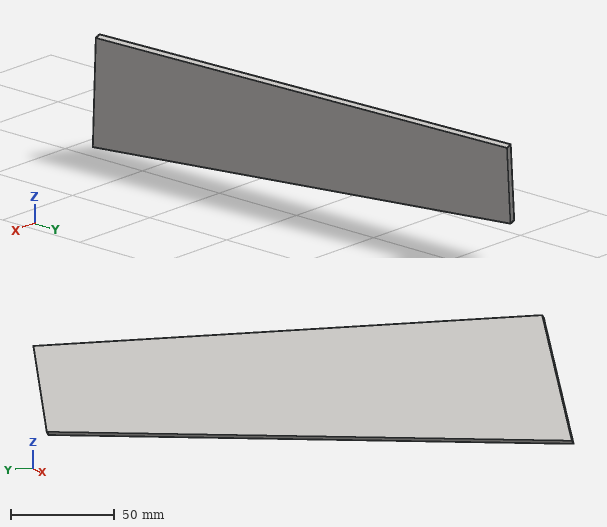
import cadquery as cq

length = 283
height = 68.5
thickness = 3.0

lean = 0.39
skew = -0.038

normal = cq.Vector(1, -skew, -lean).normalized()
offset = normal * thickness

top_near_y = 25.0
low_far_y = 269.3
low_far_z = 22.5
top_far_y = length - offset.y
low_near_z = -offset.z

corners_yz = [
    (top_far_y, height),
    (top_near_y, height),
    (0, low_near_z),
    (low_far_y, low_far_z),
]


def on_outer_face(y, z):
    """Point of the leaning outer face at the given Y and Z; X is 0 at the low far corner."""
    x = lean * (z - low_far_z) + skew * (y - low_far_y)
    return cq.Vector(x, y, z)


face_plane = cq.Plane(
    origin=on_outer_face(low_far_y, low_far_z),
    xDir=cq.Vector(skew, 1, 0),
    normal=normal,
)
outline = [face_plane.toLocalCoords(on_outer_face(y, z)) for y, z in corners_yz]

result = (
    cq.Workplane(face_plane)
    .polyline([(corner.x, corner.y) for corner in outline])
    .close()
    .extrude(thickness)
)